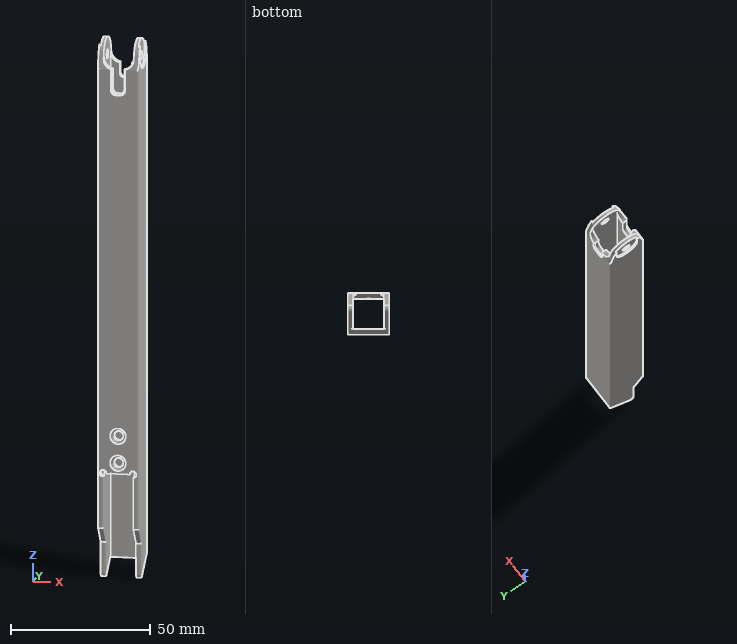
import cadquery as cq
import math

LENGTH = 198.0
WIDTH = 15.0
SIDE_WALL = 2.0
FRONT_WALL = 2.2
HALF = WIDTH / 2
INNER_X = HALF - SIDE_WALL
INNER_Y = HALF - FRONT_WALL
EDGE_RADIUS = 0.5
PICK_MARGIN = 0.02

EAR_RADIUS = 6.3
PIN_Z = LENGTH - EAR_RADIUS
PIN_DIAMETER = 3.2
RECESS_RADIUS = 4.5
RECESS_DEPTH = 0.5

SHOULDER_Z = LENGTH - 10.5
FORK_FILLET = 4.0
SLOT_WIDTH = 4.4
SLOT_CORNER_RADIUS = 1.5
FLARE_ANGLE = 45.0
FRONT_SLOT_BOTTOM_Z = LENGTH - 19.5
BACK_SLOT_BOTTOM_Z = LENGTH - 15.8

TIP_Y = -3.2
TIP_RADIUS = 1.4
STEP_INNER_Z = 12.9
STEP_OUTER_Z = 18.8
BACK_EDGE_Z = 7.5

WINDOW_TOP_Z = 39.0
WINDOW_BEVEL_RISE = 2.5
RELIEF_RADIUS = 1.2

SCREW_HOLE_Z = (43.0, 52.9)
SCREW_HOLE_DIAMETER = 3.4
COUNTERSINK_DIAMETER = 5.7
COUNTERSINK_ANGLE = 90.0


def tangent_point(center, radius, point, turn):
    """Point where the line from `point` touches a circle; turn (+1 or -1) picks the side."""
    dy = point[0] - center[0]
    dz = point[1] - center[1]
    angle = math.atan2(dz, dy) + turn * math.acos(radius / math.hypot(dy, dz))
    return center[0] + radius * math.cos(angle), center[1] + radius * math.sin(angle)


def envelope():
    """Solid bar with the side outline, its outer edges rounded below the ears."""
    ear_y, ear_z = tangent_point((0, PIN_Z), EAR_RADIUS, (HALF, SHOULDER_Z), 1)
    tip_center = (TIP_Y + TIP_RADIUS, TIP_RADIUS)
    tip_start = tangent_point(tip_center, TIP_RADIUS, (HALF, BACK_EDGE_Z), -1)
    bar = (
        cq.Workplane("YZ", origin=(-HALF, 0, 0))
        .moveTo(-HALF, SHOULDER_Z)
        .lineTo(-ear_y, ear_z)
        .threePointArc((0, LENGTH), (ear_y, ear_z))
        .lineTo(HALF, SHOULDER_Z)
        .lineTo(HALF, BACK_EDGE_Z)
        .lineTo(*tip_start)
        .threePointArc((tip_center[0], 0), (TIP_Y, TIP_RADIUS))
        .lineTo(TIP_Y, STEP_INNER_Z)
        .lineTo(-HALF, STEP_OUTER_Z)
        .close()
        .extrude(WIDTH)
    )
    below_ears = cq.selectors.BoxSelector(
        (-WIDTH, -WIDTH, -PICK_MARGIN),
        (WIDTH, WIDTH, SHOULDER_Z - PICK_MARGIN),
    )
    side_edges = bar.faces("<X or >X").edges(below_ears)
    return side_edges.fillet(EDGE_RADIUS)


def bore():
    return cq.Workplane("XY").rect(2 * INNER_X, 2 * INNER_Y).extrude(LENGTH)


def window():
    return (
        cq.Workplane("YZ", origin=(-INNER_X, 0, 0))
        .moveTo(-HALF, 0)
        .lineTo(-HALF, WINDOW_TOP_Z)
        .lineTo(-INNER_Y, WINDOW_TOP_Z + WINDOW_BEVEL_RISE)
        .lineTo(-INNER_Y, 0)
        .close()
        .extrude(2 * INNER_X)
    )


def corner_reliefs():
    """Round reliefs through the front wall at the two top corners of the window."""
    return (
        cq.Workplane("XZ", origin=(0, -INNER_Y, WINDOW_TOP_Z))
        .pushPoints([(-INNER_X, 0), (INNER_X, 0)])
        .circle(RELIEF_RADIUS)
        .extrude(FRONT_WALL)
    )


def fork_opening():
    block = (
        cq.Workplane("XY", origin=(0, 0, SHOULDER_Z))
        .rect(2 * INNER_X, WIDTH)
        .extrude(LENGTH - SHOULDER_Z)
    )
    return block.edges("|Y and <Z").fillet(FORK_FILLET)


def slot(bottom_z, side):
    """Slot with rounded bottom corners through the wall at side * HALF, flared at its outer face."""
    def layer(spread, depth, taper=0):
        half_width = SLOT_WIDTH / 2 + spread
        corner = SLOT_CORNER_RADIUS + spread
        floor_z = bottom_z - spread
        return (
            cq.Workplane("XZ", origin=(0, side * HALF, 0))
            .moveTo(-half_width, LENGTH)
            .lineTo(-half_width, floor_z + corner)
            .radiusArc((-half_width + corner, floor_z), -corner)
            .lineTo(half_width - corner, floor_z)
            .radiusArc((half_width, floor_z + corner), -corner)
            .lineTo(half_width, LENGTH)
            .close()
            .extrude(side * depth, taper=taper)
        )

    straight = layer(0, FRONT_WALL)
    flare = layer(EDGE_RADIUS, EDGE_RADIUS, taper=FLARE_ANGLE)
    return straight.union(flare)


def recess(side):
    plane = cq.Workplane("YZ", origin=(side * HALF, 0, PIN_Z))
    round_end = plane.circle(RECESS_RADIUS).extrude(-side * RECESS_DEPTH)
    open_end = (
        plane.center(0, EAR_RADIUS / 2)
        .rect(2 * RECESS_RADIUS, EAR_RADIUS)
        .extrude(-side * RECESS_DEPTH)
    )
    return round_end.union(open_end)


def pin_hole():
    return cq.Workplane("YZ", origin=(-HALF, 0, PIN_Z)).circle(PIN_DIAMETER / 2).extrude(WIDTH)


def round_leg_insides(body):
    """Round the inner edges of the two legs, below the window top."""
    for side in (-1, 1):
        inner_x = side * INNER_X
        leg = cq.selectors.BoxSelector(
            (inner_x - PICK_MARGIN, -WIDTH, -PICK_MARGIN),
            (inner_x + PICK_MARGIN, INNER_Y - PICK_MARGIN, WINDOW_TOP_Z),
        )
        body = body.edges(leg).fillet(EDGE_RADIUS)
    return body


result = envelope().cut(bore()).cut(window())
result = round_leg_insides(result)
result = result.cut(corner_reliefs()).cut(fork_opening())
result = result.cut(slot(FRONT_SLOT_BOTTOM_Z, -1))
result = result.cut(slot(BACK_SLOT_BOTTOM_Z, 1))
for ear_side in (-1, 1):
    result = result.cut(recess(ear_side))
result = result.cut(pin_hole())
result = (
    result.faces("<Y")
    .workplane(origin=(0, -HALF, 0))
    .pushPoints([(0, z) for z in SCREW_HOLE_Z])
    .cskHole(SCREW_HOLE_DIAMETER, COUNTERSINK_DIAMETER, COUNTERSINK_ANGLE, depth=2 * FRONT_WALL)
)